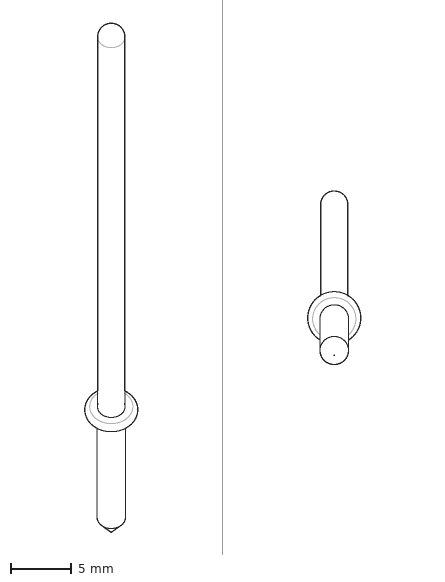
import cadquery as cq
import math

total_length = 67.64
upper_diameter = 2.29
lower_diameter = 2.39
flange_diameter = 4.44
flange_thickness = 0.84
flange_base_height = 16.01
tip_flat_diameter = 0.05
tip_length = 2.0

upper_radius = upper_diameter / 2
lower_radius = lower_diameter / 2
flange_radius = flange_diameter / 2
flange_top_height = flange_base_height + flange_thickness
flange_middle_height = flange_base_height + flange_thickness / 2
flange_flat_radius = flange_radius - flange_thickness / 2
tip_flat_radius = tip_flat_diameter / 2
dome_start_height = total_length - upper_radius
dome_diagonal = upper_radius * math.sqrt(0.5)


def make_half_profile():
    """Right half of the pin's lengthwise section, traced from the tip up to the dome."""
    lower_end = (
        cq.Workplane("XZ")
        .moveTo(0, 0)
        .lineTo(tip_flat_radius, 0)
        .lineTo(lower_radius, tip_length)
        .lineTo(lower_radius, flange_base_height)
    )
    flange = (
        lower_end
        .lineTo(flange_flat_radius, flange_base_height)
        .threePointArc((flange_radius, flange_middle_height), (flange_flat_radius, flange_top_height))
        .lineTo(upper_radius, flange_top_height)
    )
    upper_end = (
        flange
        .lineTo(upper_radius, dome_start_height)
        .threePointArc((dome_diagonal, dome_start_height + dome_diagonal), (0, total_length))
    )
    return upper_end.close()


axis_start = (0, 0, 0)
axis_end = (0, 1, 0)
result = make_half_profile().revolve(360, axis_start, axis_end)